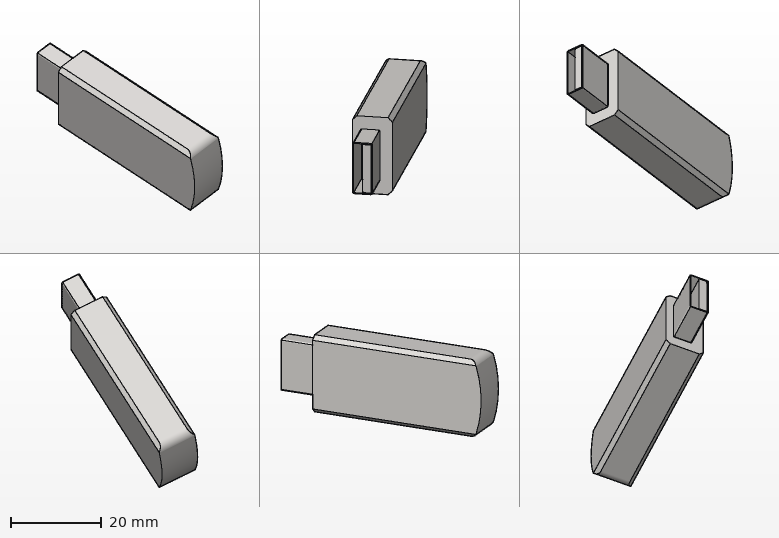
import cadquery as cq
import math

total_length = 50.0
body_width = 9.0
body_height = 18.0
body_chamfer = 1.0
tip_radius = 26.0
corner_start_depth = 3.1
corner_end_depth = 1.2

plug_length = 9.0
plug_width = 4.5
plug_height = 12.0
plug_offset = 0.5
plug_fillet = 0.5
shell_wall = 0.25
tongue_gap = 0.15


def make_body():
    """Chamfered bar whose far end is a shallow arc with rounded corners."""
    bar = (
        cq.Workplane("XY")
        .box(total_length - plug_length, body_width, body_height, centered=(False, True, True))
        .translate((plug_length, 0, 0))
        .edges("|X")
        .chamfer(body_chamfer)
    )
    half_height = body_height / 2
    corner_start_x = total_length - corner_start_depth
    corner_end_x = total_length - corner_end_depth
    corner_end_z = math.sqrt(tip_radius**2 - (tip_radius - corner_end_depth) ** 2)
    profile = (
        cq.Workplane("XZ")
        .moveTo(plug_length, 0)
        .lineTo(plug_length, half_height)
        .lineTo(corner_start_x, half_height)
        .tangentArcPoint((corner_end_x, corner_end_z), relative=False)
        .radiusArc((total_length, 0), tip_radius)
        .mirrorX()
        .extrude(body_width / 2, both=True)
    )
    return bar.intersect(profile)


def make_plug():
    """Hollow shell with a tongue filling its -Y half, clear of the walls."""
    cavity_width = plug_width - 2 * shell_wall
    cavity_height = plug_height - 2 * shell_wall
    tongue_width = cavity_width / 2 - tongue_gap
    tongue_height = cavity_height - 2 * tongue_gap
    shell = (
        cq.Workplane("YZ")
        .rect(plug_width, plug_height)
        .extrude(plug_length)
        .edges("|X")
        .fillet(plug_fillet)
    )
    cavity = cq.Workplane("YZ").rect(cavity_width, cavity_height).extrude(plug_length)
    tongue = (
        cq.Workplane("YZ")
        .center(-tongue_width / 2, 0)
        .rect(tongue_width, tongue_height)
        .extrude(plug_length)
    )
    return shell.cut(cavity).union(tongue).translate((0, plug_offset, 0))


result = make_body().union(make_plug())